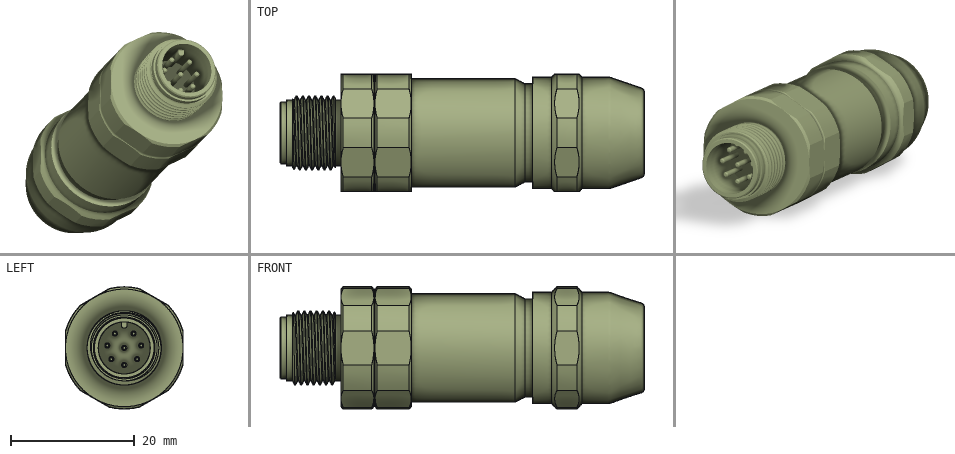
import cadquery as cq
import math

LENGTH = 58.8

TIP_DIA = 10.0
TIP_END = 1.05
TIP_CHAMFER = 0.2
STEM_DIA = 10.65
BORE_DIA = 8.4
BORE_DEPTH = 8.25
ROOT_DEPTH = 0.6

THREAD_DIA = 12.0
THREAD_PITCH = 1.0
THREAD_START = 2.0
THREAD_END = 8.95
THREAD_END_DIA = 11.2
THREAD_CHAMFER = 0.35
HELIX_START = 1.4
HELIX_TURNS = 8
RIDGE_BASE = 0.9
RIDGE_TIP = 0.1
RIDGE_OVERLAP = 0.05

PIN_DIA = 0.8
PIN_TIP_X = 2.7
PIN_TIP_CHAMFER = 0.2
PIN_CIRCLE_RADIUS = 2.75
PIN_SPACING_ANGLE = 49.0
PINS_ON_CIRCLE = 7

KEY_WIDTH = 0.95
KEY_INNER_RADIUS = 3.2
KEY_TIP_X = PIN_TIP_X

HEX_FLATS = 19.0
HEX_DIA = 19.75
HEX_SIDES = 6
NUT_START = 9.8
NUT_MIDDLE = 15.2
NUT_END = 21.15
NUT_CHAMFER = 0.35
NUT_GAP = 0.2
NUT_CORE_DIA = 16.5
GRIP_START = 43.8
GRIP_FULL_START = 44.7
GRIP_FULL_END = 47.9
GRIP_END = 48.75

SLEEVE_DIA = 17.5
SLEEVE_END = 37.9
NECK_DIA = 15.9
NECK_START = 39.5
NECK_END = 40.75
CAP_DIA = 18.0
CAP_TAPER_START = 53.2
CAP_TAPER_BLEND = 1.2
CAP_END_DIA = 14.2
CAP_END_FILLET = 0.75


def revolve_about_x(points):
    """Revolve (x, radius) points, closed down to the axis, about X."""
    profile = [(points[0][0], 0)] + points + [(points[-1][0], 0)]
    return cq.Workplane("XY").polyline(profile).close().revolve(360, (0, 0, 0), (1, 0, 0))


def cylinder_x(start, end, diameter):
    """Solid cylinder on the X axis."""
    return cq.Workplane("YZ").workplane(offset=start).circle(diameter / 2).extrude(end - start)


def turned_hex(points):
    """Hexagon with flats facing +Y and -Y, turned down to (x, radius) points."""
    start = points[0][0]
    length = points[-1][0] - start
    corner_dia = HEX_FLATS / math.cos(math.pi / HEX_SIDES)
    prism = (
        cq.Workplane("YZ").workplane(offset=start)
        .transformed(rotate=(0, 0, 90))
        .polygon(HEX_SIDES, corner_dia).extrude(length)
    )
    return prism.intersect(revolve_about_x(points))


def make_nut(start, end):
    """Short hexagonal nut, chamfered at both ends down to the flats."""
    return turned_hex([
        (start, HEX_FLATS / 2),
        (start + NUT_CHAMFER, HEX_DIA / 2),
        (end - NUT_CHAMFER, HEX_DIA / 2),
        (end, HEX_FLATS / 2),
    ])


def make_stem():
    """Stepped plug stem running into the nuts."""
    return revolve_about_x([
        (0, TIP_DIA / 2 - TIP_CHAMFER),
        (TIP_CHAMFER, TIP_DIA / 2),
        (TIP_END, TIP_DIA / 2),
        (TIP_END, STEM_DIA / 2),
        (NUT_START + NUT_CHAMFER, STEM_DIA / 2),
    ])


def make_thread():
    """Right-handed helical ridge, sunk slightly into the stem."""
    root = STEM_DIA / 2 - RIDGE_OVERLAP
    crest = THREAD_DIA / 2
    helix = cq.Wire.makeHelix(THREAD_PITCH, THREAD_PITCH * HELIX_TURNS, root)
    ridge = (
        cq.Workplane("XZ")
        .polyline([
            (root, -RIDGE_BASE / 2),
            (crest, -RIDGE_TIP / 2),
            (crest, RIDGE_TIP / 2),
            (root, RIDGE_BASE / 2),
        ])
        .close().sweep(cq.Workplane(helix), isFrenet=True)
    )
    ridge = ridge.rotate((0, 0, 0), (0, 1, 0), 90).translate((HELIX_START, 0, 0))
    blank = revolve_about_x([
        (THREAD_START, THREAD_END_DIA / 2),
        (THREAD_START + THREAD_CHAMFER, crest + RIDGE_OVERLAP),
        (THREAD_END - THREAD_CHAMFER, crest + RIDGE_OVERLAP),
        (THREAD_END, THREAD_END_DIA / 2),
    ])
    return ridge.intersect(blank)


def make_sleeve():
    """Sleeve, neck and the collar up to the hexagonal grip."""
    return revolve_about_x([
        (NUT_END - NUT_CHAMFER, SLEEVE_DIA / 2),
        (SLEEVE_END, SLEEVE_DIA / 2),
        (NECK_START, NECK_DIA / 2),
        (NECK_END, NECK_DIA / 2),
        (NECK_END, CAP_DIA / 2),
        (GRIP_START, CAP_DIA / 2),
    ])


def make_grip():
    """Hexagonal wrench grip with conical ends between collar and cap."""
    return turned_hex([
        (GRIP_START, CAP_DIA / 2),
        (GRIP_FULL_START, HEX_DIA / 2),
        (GRIP_FULL_END, HEX_DIA / 2),
        (GRIP_END, CAP_DIA / 2),
    ])


def make_cap():
    """Tapered cap end with a soft shoulder and a rounded rim."""
    cap = revolve_about_x([
        (GRIP_END, CAP_DIA / 2),
        (CAP_TAPER_START, CAP_DIA / 2),
        (LENGTH, CAP_END_DIA / 2),
    ])
    shoulder = cap.faces("%CONE").edges("<X")
    cap = shoulder.fillet(CAP_TAPER_BLEND)
    return cap.faces(">X").edges().fillet(CAP_END_FILLET)


def make_bore():
    """Blind contact chamber."""
    return cylinder_x(0, BORE_DEPTH, BORE_DIA)


def make_pin(y, z):
    """Contact pin with a chamfered tip, rooted in the chamber floor."""
    pin = cylinder_x(PIN_TIP_X, BORE_DEPTH + ROOT_DEPTH, PIN_DIA)
    return pin.faces("<X").chamfer(PIN_TIP_CHAMFER).translate((0, y, z))


def make_key():
    """Coding rib with a rounded inner edge along the top of the chamber."""
    centre = KEY_INNER_RADIUS + KEY_WIDTH / 2
    top = (BORE_DIA + TIP_DIA) / 4
    half = KEY_WIDTH / 2
    return (
        cq.Workplane("YZ").workplane(offset=KEY_TIP_X)
        .moveTo(-half, top).lineTo(-half, centre)
        .threePointArc((0, KEY_INNER_RADIUS), (half, centre))
        .lineTo(half, top).close()
        .extrude(BORE_DEPTH + ROOT_DEPTH - KEY_TIP_X)
    )


result = make_stem().union(make_thread())
result = result.union(make_nut(NUT_START, NUT_MIDDLE - NUT_GAP / 2))
result = result.union(make_nut(NUT_MIDDLE + NUT_GAP / 2, NUT_END))
result = result.union(cylinder_x(NUT_START + NUT_CHAMFER, NUT_END - NUT_CHAMFER, NUT_CORE_DIA))
result = result.union(make_sleeve()).union(make_grip()).union(make_cap())

result = result.cut(make_bore()).union(make_key())
result = result.union(make_pin(0, 0))
for index in range(PINS_ON_CIRCLE):
    steps_from_bottom = index - (PINS_ON_CIRCLE - 1) / 2
    angle = math.radians(steps_from_bottom * PIN_SPACING_ANGLE)
    y = PIN_CIRCLE_RADIUS * math.sin(angle)
    z = -PIN_CIRCLE_RADIUS * math.cos(angle)
    result = result.union(make_pin(y, z))